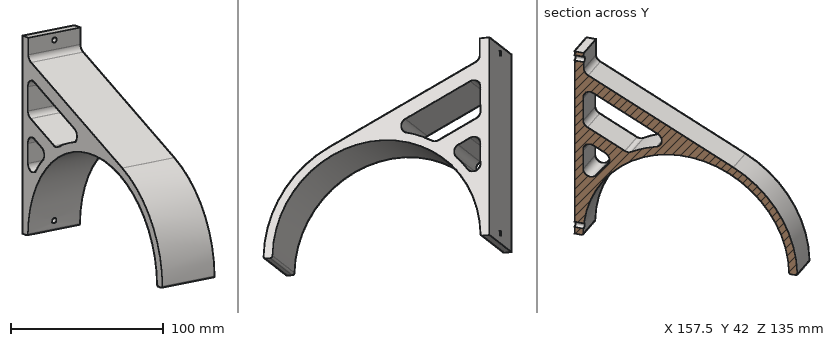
import cadquery as cq
import math

WIDTH = 42.0
HEIGHT = 135.0
PLATE_THICKNESS = 6.75
INNER_RADIUS = 72.5
OUTER_RADIUS = 78.75
BRACE_ANGLE = math.radians(25)

BRACE_THICKNESS = 10.0
UPPER_WINDOW_HEIGHT = 25.0
STRUT_THICKNESS = 10.0

CORNER_RADIUS = 5.0
FOOT_RADIUS = 1.5

SCREW_DIAMETER = 3.5
TOP_SCREW_INSET = 5.0
BOTTOM_SCREW_INSET = 7.0
SCREW_DEPTH = 10.0

ARCH_CENTER_X = OUTER_RADIUS

TANGENT_ANGLE = math.pi / 2 - BRACE_ANGLE

WINDOW_LEFT = OUTER_RADIUS - INNER_RADIUS


def slope_height(x, offset):
    """Height at x of the line lying `offset` below the brace top, square to it."""
    distance = OUTER_RADIUS - offset
    return distance / math.cos(BRACE_ANGLE) - (x - ARCH_CENTER_X) * math.tan(BRACE_ANGLE)


def arch_point(radius, angle):
    """Point (x, z) on a circle about the arch centre, angle from +X."""
    return (ARCH_CENTER_X + radius * math.cos(angle), radius * math.sin(angle))


def slope_meets_arch(offset):
    """Angle on the arch's outer circle where an offset slope line meets it on the left."""
    return TANGENT_ANGLE + math.acos((OUTER_RADIUS - offset) / OUTER_RADIUS)


def extrude_across(profile):
    """Extrude an XZ profile over the full width, centred on Y = 0."""
    return profile.extrude(WIDTH / 2, both=True)


def make_body():
    profile = (
        cq.Workplane("XZ")
        .moveTo(0, 0)
        .lineTo(0, HEIGHT)
        .lineTo(PLATE_THICKNESS, HEIGHT)
        .lineTo(PLATE_THICKNESS, slope_height(PLATE_THICKNESS, 0))
        .lineTo(*arch_point(OUTER_RADIUS, TANGENT_ANGLE))
        .threePointArc(
            arch_point(OUTER_RADIUS, TANGENT_ANGLE / 2),
            arch_point(OUTER_RADIUS, 0),
        )
        .lineTo(*arch_point(INNER_RADIUS, 0))
        .threePointArc(
            arch_point(INNER_RADIUS, math.pi / 2),
            arch_point(INNER_RADIUS, math.pi),
        )
        .close()
    )
    body = extrude_across(profile)
    return round_edges(body)


def edge_at(x, z):
    """Selector for the edge along Y through the point (x, z)."""
    return cq.selectors.NearestToPointSelector((x, 0, z))


def round_edges(body):
    plate_corner = edge_at(PLATE_THICKNESS, slope_height(PLATE_THICKNESS, 0))
    body = body.edges("|Y").edges(plate_corner).fillet(CORNER_RADIUS)
    foot_edges = (
        arch_point(INNER_RADIUS, math.pi),
        arch_point(INNER_RADIUS, 0),
        arch_point(OUTER_RADIUS, 0),
    )
    for x, z in foot_edges:
        body = body.edges("|Y").edges(edge_at(x, z)).fillet(FOOT_RADIUS)
    return body


def make_upper_window():
    """Four-sided opening between brace, plate, strut and arch."""
    top = BRACE_THICKNESS
    bottom = top + UPPER_WINDOW_HEIGHT
    top_angle = slope_meets_arch(top)
    bottom_angle = slope_meets_arch(bottom)
    profile = (
        cq.Workplane("XZ")
        .moveTo(WINDOW_LEFT, slope_height(WINDOW_LEFT, bottom))
        .lineTo(WINDOW_LEFT, slope_height(WINDOW_LEFT, top))
        .lineTo(*arch_point(OUTER_RADIUS, top_angle))
        .threePointArc(
            arch_point(OUTER_RADIUS, (top_angle + bottom_angle) / 2),
            arch_point(OUTER_RADIUS, bottom_angle),
        )
        .close()
    )
    return extrude_across(profile).edges("|Y").fillet(CORNER_RADIUS)


def make_lower_window():
    """Three-sided opening between strut, plate and arch."""
    top = BRACE_THICKNESS + UPPER_WINDOW_HEIGHT + STRUT_THICKNESS
    top_angle = slope_meets_arch(top)
    bottom_angle = math.acos((WINDOW_LEFT - ARCH_CENTER_X) / OUTER_RADIUS)
    profile = (
        cq.Workplane("XZ")
        .moveTo(*arch_point(OUTER_RADIUS, bottom_angle))
        .lineTo(WINDOW_LEFT, slope_height(WINDOW_LEFT, top))
        .lineTo(*arch_point(OUTER_RADIUS, top_angle))
        .threePointArc(
            arch_point(OUTER_RADIUS, (top_angle + bottom_angle) / 2),
            arch_point(OUTER_RADIUS, bottom_angle),
        )
        .close()
    )
    return extrude_across(profile).edges("|Y").fillet(CORNER_RADIUS)


def make_screw_holes():
    """Two holes along X through the wall plate, near its top and bottom."""
    heights = (BOTTOM_SCREW_INSET, HEIGHT - TOP_SCREW_INSET)
    return (
        cq.Workplane("YZ")
        .pushPoints([(0, z) for z in heights])
        .circle(SCREW_DIAMETER / 2)
        .extrude(SCREW_DEPTH)
    )


result = (
    make_body()
    .cut(make_upper_window())
    .cut(make_lower_window())
    .cut(make_screw_holes())
)